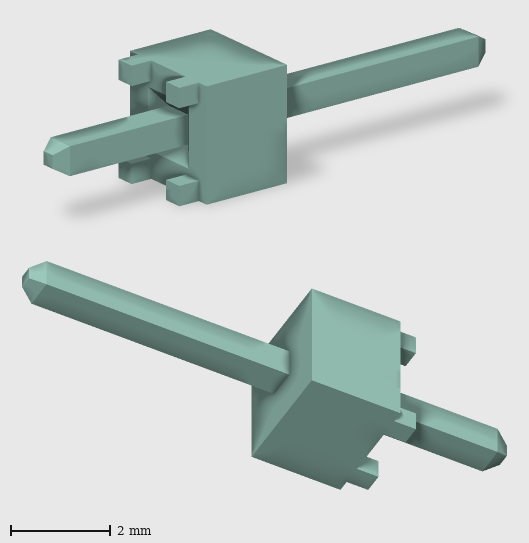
import cadquery as cq

pin_length = 10.92
pin_width = 0.64
tip_length = 0.31
tip_width = 0.3

body_width = 2.54
body_length = 2.03
body_back = -0.39
body_front = body_back - body_length

recess_width = 1.35
recess_depth = 0.25

foot_size = 0.44
foot_length = 0.49
foot_spacing = 1.58


def square_at(y, width, direction):
    """Centred square on the plane at y, facing direction (+1 or -1) along Y."""
    plane = cq.Plane(origin=(0, y, 0), xDir=(1, 0, 0), normal=(0, direction, 0))
    return cq.Workplane(plane).rect(width, width)


def square_frustum(y, start_width, end_width, length, direction):
    """Square section changing linearly in width along Y."""
    start = square_at(y, start_width, direction)
    return start.workplane(offset=length).rect(end_width, end_width).loft(combine=True, ruled=True)


def make_pin():
    shank_end = pin_length / 2 - tip_length
    pin = square_at(-shank_end, pin_width, 1).extrude(2 * shank_end)
    for direction in (-1, 1):
        tip = square_frustum(direction * shank_end, pin_width, tip_width, tip_length, direction)
        pin = pin.union(tip)
    return pin


def make_housing():
    housing = square_at(body_front, body_width, 1).extrude(body_length)
    recess = square_frustum(body_front, recess_width, pin_width, recess_depth, 1)
    return housing.cut(recess)


def make_feet():
    front = cq.Plane(origin=(0, body_front, 0), xDir=(1, 0, 0), normal=(0, -1, 0))
    return (
        cq.Workplane(front)
        .rarray(foot_spacing, body_width - foot_size, 2, 2)
        .rect(foot_size, foot_size)
        .extrude(foot_length)
    )


result = make_housing().union(make_feet()).union(make_pin())